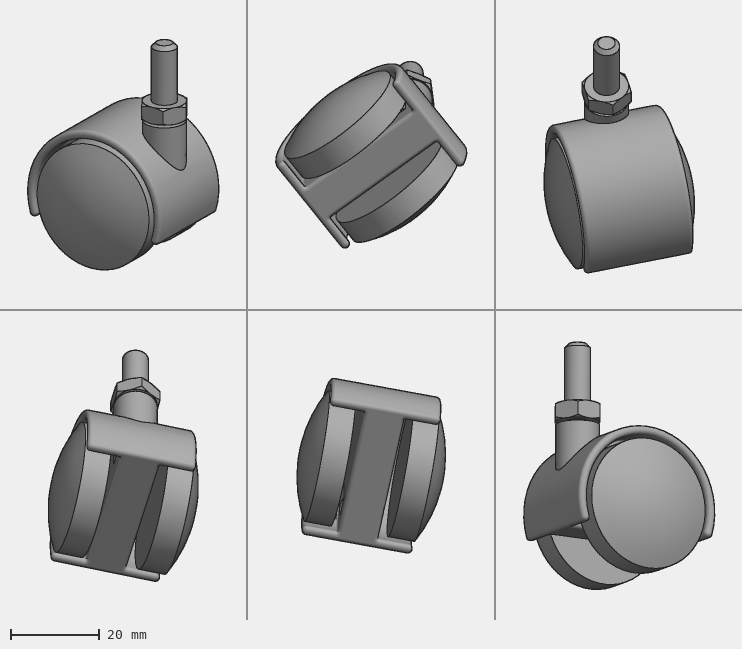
import cadquery as cq
import math


wheel_radius = 15.0
wheel_inner_y = 6.6
wheel_rim_y = 12.6
overall_width = 33.0
wheel_apex_y = overall_width / 2

hood_diameter = 36.0
hood_radius = hood_diameter / 2
hood_thickness = 2.0
hood_half_width = wheel_rim_y
hood_bottom_z = -5.9
web_half_width = 4.5
edge_round = 0.95
corner_round = 0.5
tolerance = 0.005

stud_x = 11.0
boss_radius = 5.0
boss_top_z = 19.25

stud_radius = 2.95
stud_length = 28.85
stud_chamfer = 1.0
overall_height = 53.0
stud_top_z = overall_height - wheel_radius
stud_bottom_z = stud_top_z - stud_length
hex_across_flats = 10.0
hex_height = 4.05
hex_bottom_z = 19.95
hex_chamfer_drop = 0.5


def stud_cylinder(radius, bottom_z, top_z):
    """Upright cylinder on the stud axis."""
    return (
        cq.Workplane("XY", origin=(stud_x, 0, bottom_z))
        .circle(radius)
        .extrude(top_z - bottom_z)
    )


def wheel_axis_cylinder(radius, start_y, end_y):
    """Cylinder on the wheel axis between two Y positions."""
    return (
        cq.Workplane("XZ", origin=(0, start_y, 0))
        .circle(radius)
        .extrude(start_y - end_y)
    )


def make_housing():
    hood = wheel_axis_cylinder(hood_radius, -hood_half_width, hood_half_width)
    cavity_radius = hood_radius - hood_thickness
    for side in (-1, 1):
        hood = hood.cut(wheel_axis_cylinder(cavity_radius, side * web_half_width, side * hood_half_width))

    keep_height = hood_radius - hood_bottom_z
    keep = cq.Workplane("XY", origin=(0, 0, hood_bottom_z)).box(
        2 * hood_radius, 2 * hood_half_width, keep_height, centered=(True, True, False)
    )
    hood = hood.intersect(keep)

    hood = hood.union(stud_cylinder(boss_radius, 0, boss_top_z))

    def is_inner_corner(edge):
        middle = edge.positionAt(0.5)
        on_cavity_wall = math.isclose(math.hypot(middle.x, middle.z), cavity_radius, abs_tol=tolerance)
        return on_cavity_wall and abs(middle.y) <= boss_radius

    hood = hood.edges().filter(is_inner_corner).fillet(corner_round)

    hood = hood.faces("<Z or <Y or >Y").edges().fillet(edge_round)

    return hood.cut(stud_cylinder(stud_radius, stud_bottom_z, boss_top_z))


def make_wheel(side):
    """Disc with a spherical outer face; side is -1 or 1 along Y."""
    dome_height = wheel_apex_y - wheel_rim_y
    dome_radius = (wheel_radius**2 + dome_height**2) / (2 * dome_height)
    dome_center_y = wheel_apex_y - dome_radius
    mid_angle = math.asin(wheel_radius / dome_radius) / 2
    mid_x = dome_radius * math.sin(mid_angle)
    mid_y = dome_center_y + dome_radius * math.cos(mid_angle)
    return (
        cq.Workplane("XY")
        .moveTo(0, side * wheel_inner_y)
        .lineTo(wheel_radius, side * wheel_inner_y)
        .lineTo(wheel_radius, side * wheel_rim_y)
        .threePointArc((mid_x, side * mid_y), (0, side * wheel_apex_y))
        .close()
        .revolve(360, (0, 0, 0), (0, 1, 0))
    )


def make_stud():
    rod = stud_cylinder(stud_radius, stud_bottom_z, stud_top_z)
    rod = rod.faces(">Z").edges().chamfer(stud_chamfer)

    flat_radius = hex_across_flats / 2
    corner_radius = flat_radius / math.cos(math.pi / 6)
    hexagon = (
        cq.Workplane("XY", origin=(stud_x, 0, hex_bottom_z))
        .polygon(6, 2 * corner_radius)
        .extrude(hex_height)
    )
    turned_blank = (
        stud_cylinder(corner_radius, hex_bottom_z, hex_bottom_z + hex_height)
        .faces("<Z or >Z")
        .edges()
        .chamfer(hex_chamfer_drop, corner_radius - flat_radius)
    )
    return rod.union(hexagon.intersect(turned_blank))


housing = make_housing()
wheels = [make_wheel(side) for side in (-1, 1)]
stud = make_stud()

result = cq.Compound.makeCompound([housing.val(), *[wheel.val() for wheel in wheels], stud.val()])